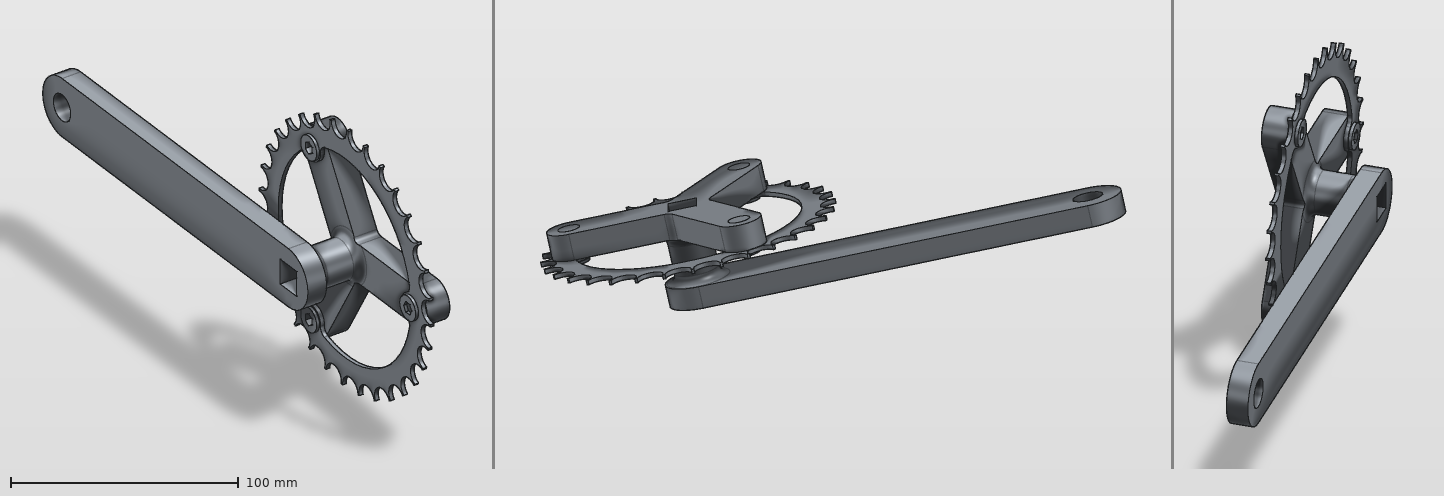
import cadquery as cq
import math


ARM_LENGTH = 175.0
ARM_WIDTH = 30.0
ARM_THICKNESS = 10.0
PEDAL_HOLE_DIAMETER = 13.3

HUB_RADIUS = 10.0
HUB_FILLET = 4.0
BORE_SIDE = 12.8

OVERALL_DEPTH = 44.0
SPIDER_ARMS = 3
SPIDER_THICKNESS = 12.0
SPIDER_ARM_WIDTH = 20.0
SPIDER_CORNER_FILLET = 4.0
SPIDER_FRONT = OVERALL_DEPTH - SPIDER_THICKNESS

BOLT_CIRCLE_RADIUS = 51.0
RING_THICKNESS = 2.0
RING_INNER_RADIUS = 51.3
RING_TIP_DIAMETER = 132.5
RING_FRONT = SPIDER_FRONT - RING_THICKNESS
TEETH = 32
TOOTH_PHASE = -1.8
ROLLER_CIRCLE_RADIUS = 65.5
ROLLER_GAP_RADIUS = 6.0
TAB_RADIUS = 7.0
TAB_FILLET = 4.0

HEAD_RADIUS = 6.2
HEAD_HEIGHT = 1.5
SHANK_RADIUS = 4.9
SOCKET_ACROSS_CORNERS = 6.2
DEEP_SOCKET = 9.0
SHALLOW_SOCKET = 1.5
HEAD_FRONT = RING_FRONT - HEAD_HEIGHT

BOLT_ANGLES = [i * 360 / SPIDER_ARMS for i in range(SPIDER_ARMS)]
BOLT_CENTRES = [
    (BOLT_CIRCLE_RADIUS * math.cos(math.radians(a)), BOLT_CIRCLE_RADIUS * math.sin(math.radians(a)))
    for a in BOLT_ANGLES
]


def plane_at(y):
    """XZ sketch plane at the given Y; a negative extrusion grows toward +Y."""
    return cq.Workplane("XZ", origin=(0, y, 0))


def disc(y, radius, depth, centres=((0, 0),)):
    """Round discs starting at Y = y and reaching depth toward +Y."""
    return plane_at(y).pushPoints(centres).circle(radius).extrude(-depth)


def spider_plate(y, depth):
    """Three-armed plate with rounded arm ends and filleted inner corners."""
    plate = None
    for angle in BOLT_ANGLES:
        arm = (
            plane_at(y)
            .moveTo(0, -SPIDER_ARM_WIDTH / 2)
            .lineTo(BOLT_CIRCLE_RADIUS, -SPIDER_ARM_WIDTH / 2)
            .threePointArc(
                (BOLT_CIRCLE_RADIUS + SPIDER_ARM_WIDTH / 2, 0),
                (BOLT_CIRCLE_RADIUS, SPIDER_ARM_WIDTH / 2),
            )
            .lineTo(0, SPIDER_ARM_WIDTH / 2)
            .close()
            .extrude(-depth)
            .rotate((0, 0, 0), (0, -1, 0), angle)
        )
        plate = arm if plate is None else plate.union(arm)
    corner_reach = SPIDER_ARM_WIDTH
    near_axis = cq.selectors.BoxSelector(
        (-corner_reach, y - 2.5, -corner_reach), (corner_reach, y + depth + 2.5, corner_reach)
    )
    return plate.edges("|Y").edges(near_axis).fillet(SPIDER_CORNER_FILLET)


def hub_fillet(face_y, direction):
    """Concave collar round the hub, flaring onto the face at face_y."""
    flare = HUB_RADIUS + HUB_FILLET
    end_y = face_y + direction * HUB_FILLET
    diagonal = HUB_FILLET * math.sqrt(0.5)
    return (
        cq.Workplane("XY")
        .moveTo(0, face_y)
        .lineTo(flare, face_y)
        .threePointArc((flare - diagonal, end_y - direction * diagonal), (HUB_RADIUS, end_y))
        .lineTo(0, end_y)
        .close()
        .revolve(360, (0, 0, 0), (0, 1, 0))
    )


def make_crank():
    arm = plane_at(0).center(-ARM_LENGTH / 2, 0).slot2D(
        ARM_LENGTH + ARM_WIDTH, ARM_WIDTH
    ).extrude(-ARM_THICKNESS)
    hub = disc(ARM_THICKNESS, HUB_RADIUS, SPIDER_FRONT - ARM_THICKNESS)
    spider_flare = hub_fillet(SPIDER_FRONT, -1).intersect(
        spider_plate(SPIDER_FRONT - HUB_FILLET, HUB_FILLET)
    )
    crank = (
        arm.union(hub)
        .union(hub_fillet(ARM_THICKNESS, 1))
        .union(spider_plate(SPIDER_FRONT, SPIDER_THICKNESS))
        .union(spider_flare)
    )
    bore = plane_at(0).rect(BORE_SIDE, BORE_SIDE).extrude(-OVERALL_DEPTH)
    pedal_hole = disc(0, PEDAL_HOLE_DIAMETER / 2, ARM_THICKNESS, [(-ARM_LENGTH, 0)])
    bolt_holes = disc(SPIDER_FRONT, SHANK_RADIUS, SPIDER_THICKNESS, BOLT_CENTRES)
    return crank.cut(bore).cut(pedal_hole).cut(bolt_holes)


def make_chainring():
    opening = disc(RING_FRONT, RING_INNER_RADIUS, RING_THICKNESS).cut(
        disc(RING_FRONT, TAB_RADIUS, RING_THICKNESS, BOLT_CENTRES)
    )
    tab_roots = opening.edges("|Y").filter(
        lambda e: math.hypot(e.Center().x, e.Center().z) > RING_INNER_RADIUS - 0.03
    )
    opening = tab_roots.fillet(TAB_FILLET)
    roller_gaps = (
        plane_at(RING_FRONT)
        .polarArray(ROLLER_CIRCLE_RADIUS, TOOTH_PHASE + 180 / TEETH, 360, TEETH)
        .circle(ROLLER_GAP_RADIUS)
        .extrude(-RING_THICKNESS)
    )
    bolt_holes = disc(RING_FRONT, SHANK_RADIUS, RING_THICKNESS, BOLT_CENTRES)
    return disc(RING_FRONT, RING_TIP_DIAMETER / 2, RING_THICKNESS).cut(opening).cut(roller_gaps).cut(bolt_holes)


def make_bolt(centre, socket_depth, socket_turn):
    """Bolt with a hexagon socket, its shank filling the ring and spider holes."""
    shank_length = OVERALL_DEPTH - RING_FRONT
    bolt = disc(HEAD_FRONT, HEAD_RADIUS, HEAD_HEIGHT).union(disc(RING_FRONT, SHANK_RADIUS, shank_length))
    socket = (
        plane_at(HEAD_FRONT)
        .polygon(6, SOCKET_ACROSS_CORNERS)
        .extrude(-socket_depth)
        .rotate((0, 0, 0), (0, -1, 0), socket_turn)
    )
    return bolt.cut(socket).translate((centre[0], 0, centre[1]))


crank = make_crank()
chainring = make_chainring()
bolts = [
    make_bolt(BOLT_CENTRES[0], SHALLOW_SOCKET, 0),
    make_bolt(BOLT_CENTRES[1], DEEP_SOCKET, 30),
    make_bolt(BOLT_CENTRES[2], DEEP_SOCKET, 30),
]

result = cq.Compound.makeCompound([crank.val(), chainring.val(), *[bolt.val() for bolt in bolts]])